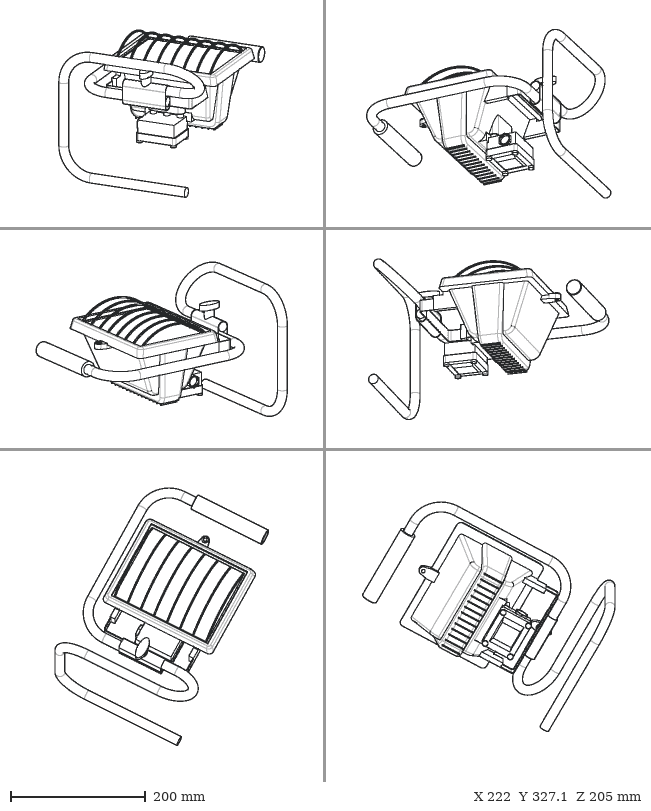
import cadquery as cq
import math


TUBE_R = 7.5
BEND_R = 45.0
U_BEND_R = 40.0
LEFT_X = -109.0

CLAMP_LENGTH = 70.3
CLAMP_WALL = 1.0
CLAMP_Y = -118.0
CLAMP_TOP_Z = -0.3
CLAMP_BOTTOM_Z = -22.2
CLAMP_R = TUBE_R + CLAMP_WALL

HANDLE_Z = -17.3
GRIP_Y = 133.0
GRIP_D = 24.0
GRIP_START_X = -44.0
GRIP_END_X = 74.2
GRIP_CHAMFER = 1.0

STAND_HEIGHT = 190.0
U_BEND_X = 58.0
STAND_END_X = 91.5

KNOB_TOP_Z = 27.5
KNOB_THICKNESS = 8.8
KNOB_LENGTH = 34.5
KNOB_WIDTH = 15.0

FRAME_X = 184.0
FRAME_Y = 146.5
FRAME_H = 15.7
FRAME_INSET = 3.3
FRAME_CORNER_R = 7.0
FRAME_EDGE_R = 3.5
OPENING_X = 161.5
OPENING_Y = 127.5
LEDGE_DEPTH = 5.2
LEDGE_WIDTH = 3.3
GLASS_DEPTH = 7.2

WIRE_COUNT = 8
WIRE_PITCH = 22.0
WIRE_SIZE = 2.0
WIRE_R = 80.0
WIRE_RISE = 22.2
WIRE_EMBED = 1.0

TROUGH_TOP = (163.5, 49.7)
TROUGH_BOTTOM = (142.0, 34.5)
TROUGH_DEPTH = 89.5
BOWL_TOP = (153.5, 124.2)
BOWL_BOTTOM = (127.0, 66.0)
BOWL_DEPTH = 74.2
HOUSING_BOTTOM_R = 14.7
HOUSING_EDGE_R = 5.0
RIB_COUNT = 14
RIB_PITCH = 9.8
RIB_WIDTH = 1.3
RIB_LENGTH = 29.5
RIB_HEIGHT = 1.0

NECK_X = 57.2
NECK_FRONT_Y = -51.3
NECK_BOTTOM_Z = -60.0
NECK_CORNER_R = 7.2
PLATE_X = 76.0
PLATE_FRONT_Y = -39.0
PLATE_H = 13.7
POST_D = 9.8
POST_PITCH = 22.0
POST_Y = -44.0

BOX_X = 59.8
BOX_BACK_Y = -36.0
BOX_Y = 47.5
BOX_TOP_Z = -66.5
BOX_H = 20.0
COVER_OVERHANG = 2.0
COVER_H = 11.8
COVER_CORNER_R = 4.0
FOOT_D = 8.5
FOOT_H = 3.3
PAD_TOP = (43.8, 34.5)
PAD_BOTTOM = (28.0, 30.7)

GLAND_Y = -66.7
GLAND_Z = -76.8
GLAND_FLATS = 17.5
GLAND_LENGTH = 4.3
GLAND_HOLE_D = 15.0

LATCH_BASE_X = 17.0
LATCH_TIP_R = 6.2
LATCH_TIP_Y = 82.5
LATCH_TOP_Z = 2.3
LATCH_H = 8.2
SCREW_R = 5.0
SCREW_STUB = 1.3
SOCKET_R = 2.5

STRAP_X = 140.0
STRAP_THICKNESS = 1.3
STRAP_TOP_Z = -9.0
STRAP_H = 17.5
STRAP_BEND_R = 4.3
STRAP_BACK_Y = -73.0
LUG_WIDTH = 8.0
LUG_FRONT_Y = -88.0
LUG_STEP_Z = -4.5
LUG_BACK_Y = -49.0

SLOPE_OVERLAP = 3.3


def box(x_range, y_range, z_range):
    size = [high - low for low, high in (x_range, y_range, z_range)]
    corner = (x_range[0], y_range[0], z_range[0])
    return cq.Workplane("XY").box(*size, centered=False).translate(corner)


def upright(diameter, x, y, bottom, top):
    return cq.Workplane("XY", origin=(x, y, bottom)).circle(diameter / 2).extrude(top - bottom)


def frustum(top_size, bottom_size, top_z, bottom_z):
    lower = cq.Workplane("XY", origin=(0, 0, bottom_z)).rect(*bottom_size)
    return lower.workplane(offset=top_z - bottom_z).rect(*top_size).loft()



def make_frame():
    lean = math.degrees(math.atan(FRAME_INSET / FRAME_H))
    frame = cq.Workplane("XY").rect(FRAME_X, FRAME_Y).extrude(FRAME_H, taper=lean)
    frame = frame.edges("not(#Z)").edges("not(|X or |Y)").fillet(FRAME_CORNER_R)
    frame = frame.faces(">Z").edges().fillet(FRAME_EDGE_R)
    top = frame.faces(">Z").workplane(origin=(0, 0, FRAME_H))
    frame = top.rect(OPENING_X, OPENING_Y).cutBlind(-LEDGE_DEPTH)
    top = frame.faces(">Z").workplane(origin=(0, 0, FRAME_H))
    return top.rect(OPENING_X - 2 * LEDGE_WIDTH, OPENING_Y - 2 * LEDGE_WIDTH).cutBlind(-GLASS_DEPTH)


def make_guard_wire(x):
    centre_z = FRAME_H + WIRE_RISE - WIRE_R
    ring = cq.Workplane("YZ", origin=(x - WIRE_SIZE / 2, 0, centre_z))
    ring = ring.circle(WIRE_R).circle(WIRE_R - WIRE_SIZE).extrude(WIRE_SIZE)
    reach = OPENING_Y / 2 - LEDGE_WIDTH + WIRE_EMBED
    kept = box((x - 3.3, x + 3.3), (-reach, reach), (0, FRAME_H + WIRE_RISE + 3.3))
    return ring.intersect(kept)


def make_trough():
    trough = frustum(TROUGH_TOP, TROUGH_BOTTOM, 0, -TROUGH_DEPTH)
    trough = trough.faces("<Z").edges("|Y").fillet(HOUSING_BOTTOM_R)
    return trough.faces("<Y or >Y").edges("not(>Z)").fillet(HOUSING_EDGE_R)


def make_bowl():
    bowl = frustum(BOWL_TOP, BOWL_BOTTOM, 0, -BOWL_DEPTH)
    bowl = bowl.faces("<Z").edges("|X").fillet(HOUSING_BOTTOM_R)
    return bowl.faces("<X or >X").edges("not(>Z)").fillet(HOUSING_EDGE_R)


def make_housing():
    housing = make_trough().union(make_bowl())
    for i in range(RIB_COUNT):
        x = (i - (RIB_COUNT - 1) / 2) * RIB_PITCH
        rib = box(
            (x - RIB_WIDTH / 2, x + RIB_WIDTH / 2),
            (-RIB_LENGTH / 2, RIB_LENGTH / 2),
            (-TROUGH_DEPTH - RIB_HEIGHT, -TROUGH_DEPTH + SLOPE_OVERLAP),
        )
        housing = housing.union(rib)
    return housing


def make_box_mount():
    neck = box((-NECK_X / 2, NECK_X / 2), (NECK_FRONT_Y, 0), (NECK_BOTTOM_Z, 0))
    neck = neck.faces("<Y").edges("|Z").fillet(NECK_CORNER_R)
    plate = box(
        (-PLATE_X / 2, PLATE_X / 2),
        (PLATE_FRONT_Y, 0),
        (NECK_BOTTOM_Z - PLATE_H, NECK_BOTTOM_Z),
    )
    mount = neck.union(plate)
    for x in (-POST_PITCH, 0, POST_PITCH):
        mount = mount.union(upright(POST_D, x, POST_Y, BOX_TOP_Z, NECK_BOTTOM_Z))
    return mount


def make_gland():
    left = -BOX_X / 2
    gland = cq.Workplane("YZ", origin=(left - GLAND_LENGTH, GLAND_Y, GLAND_Z))
    return gland.polygon(6, GLAND_FLATS, circumscribed=True).circle(GLAND_HOLE_D / 2).extrude(GLAND_LENGTH)


def make_junction_box():
    split_z = BOX_TOP_Z - BOX_H
    cover_bottom = split_z - COVER_H
    front_y = BOX_BACK_Y - BOX_Y
    middle_y = BOX_BACK_Y - BOX_Y / 2
    cover_x = BOX_X / 2 + COVER_OVERHANG
    cover_back = BOX_BACK_Y + COVER_OVERHANG
    cover_front = front_y - COVER_OVERHANG

    body = box((-BOX_X / 2, BOX_X / 2), (front_y, BOX_BACK_Y), (split_z, BOX_TOP_Z))
    cover = box((-cover_x, cover_x), (cover_front, cover_back), (cover_bottom, split_z))
    cover = cover.edges("|Z").fillet(COVER_CORNER_R)
    pad = frustum(PAD_TOP, PAD_BOTTOM, cover_bottom, cover_bottom - FOOT_H).translate((0, middle_y, 0))
    unit = body.union(cover).union(pad).union(make_gland())
    inset = FOOT_D / 2
    for x in (-cover_x + inset, cover_x - inset):
        for y in (cover_front + inset, cover_back - inset):
            unit = unit.union(upright(FOOT_D, x, y, cover_bottom - FOOT_H, cover_bottom))
    return unit


def make_latch():
    half_base = LATCH_BASE_X / 2
    frame_y = FRAME_Y / 2
    bottom = LATCH_TOP_Z - LATCH_H
    root_y = BOWL_TOP[1] / 2 - SLOPE_OVERLAP
    lug = (
        cq.Workplane("XY", origin=(0, 0, bottom))
        .moveTo(-half_base, root_y)
        .lineTo(half_base, root_y)
        .lineTo(half_base, frame_y)
        .lineTo(LATCH_TIP_R, LATCH_TIP_Y)
        .threePointArc((0, LATCH_TIP_Y + LATCH_TIP_R), (-LATCH_TIP_R, LATCH_TIP_Y))
        .lineTo(-half_base, frame_y)
        .close()
        .extrude(LATCH_H)
    )
    screw_top = LATCH_TOP_Z + SCREW_STUB
    screw = upright(2 * SCREW_R, 0, LATCH_TIP_Y, LATCH_TOP_Z, screw_top)
    socket = upright(2 * SOCKET_R, 0, LATCH_TIP_Y, LATCH_TOP_Z, screw_top)
    stub = upright(2 * SOCKET_R, 0, LATCH_TIP_Y, bottom - SCREW_STUB, bottom)
    return lug.union(screw.cut(socket)).union(stub)


def make_bracket():
    half_x = STRAP_X / 2
    bottom = STRAP_TOP_Z - STRAP_H
    front_y = CLAMP_Y + TUBE_R + CLAMP_WALL - STRAP_THICKNESS / 4
    inner_x = half_x - STRAP_THICKNESS
    strap = box((-half_x, half_x), (front_y, STRAP_BACK_Y), (bottom, STRAP_TOP_Z))
    strap = strap.faces("<Y").edges("|Z").fillet(STRAP_BEND_R)
    inside = box((-inner_x, inner_x), (front_y + STRAP_THICKNESS, STRAP_BACK_Y), (bottom, STRAP_TOP_Z))
    inside = inside.faces("<Y").edges("|Z").fillet(STRAP_BEND_R - STRAP_THICKNESS)
    bracket = strap.cut(inside)
    for outer_x in (-half_x, half_x - LUG_WIDTH):
        sides = (outer_x, outer_x + LUG_WIDTH)
        root = box(sides, (STRAP_BACK_Y, LUG_BACK_Y), (bottom, 0))
        tab = box(sides, (LUG_FRONT_Y, STRAP_BACK_Y), (bottom, LUG_STEP_Z))
        bracket = bracket.union(root).union(tab)
    return bracket


def clamp_outline(radius):
    middle_z = (CLAMP_TOP_Z + CLAMP_BOTTOM_Z) / 2
    length = CLAMP_TOP_Z - CLAMP_BOTTOM_Z + 2 * radius
    start = cq.Workplane("YZ", origin=(-CLAMP_LENGTH / 2, CLAMP_Y, middle_z))
    return start.slot2D(length, 2 * radius, 90).extrude(CLAMP_LENGTH)


def make_clamp_with_knob():
    head_bottom = KNOB_TOP_Z - KNOB_THICKNESS
    head = cq.Workplane("XY", origin=(0, CLAMP_Y, head_bottom))
    head = head.ellipse(KNOB_WIDTH / 2, KNOB_LENGTH / 2).extrude(KNOB_THICKNESS)
    shank = upright(KNOB_WIDTH, 0, CLAMP_Y, CLAMP_TOP_Z, head_bottom)
    return clamp_outline(CLAMP_R).union(shank).union(head).cut(clamp_outline(TUBE_R))


def make_lamp():
    lamp = make_frame().union(make_housing())
    for i in range(WIRE_COUNT):
        lamp = lamp.union(make_guard_wire((i - (WIRE_COUNT - 1) / 2) * WIRE_PITCH))
    for part in (make_box_mount(), make_junction_box(), make_latch(), make_bracket(), make_clamp_with_knob()):
        lamp = lamp.union(part)
    return lamp



def sweep_tube(path, start, direction):
    plane = cq.Plane(origin=start, xDir=(0, 0, 1), normal=direction)
    return cq.Workplane(plane).circle(TUBE_R).sweep(path)


def make_handle():
    start = (CLAMP_LENGTH / 2, CLAMP_Y)
    bend_x = LEFT_X + BEND_R
    shift = BEND_R * (1 - math.sqrt(0.5))
    path = (
        cq.Workplane("XY", origin=(0, 0, HANDLE_Z))
        .moveTo(*start)
        .lineTo(bend_x, CLAMP_Y)
        .threePointArc((LEFT_X + shift, CLAMP_Y + shift), (LEFT_X, CLAMP_Y + BEND_R))
        .lineTo(LEFT_X, GRIP_Y - BEND_R)
        .threePointArc((LEFT_X + shift, GRIP_Y - shift), (bend_x, GRIP_Y))
        .lineTo(GRIP_START_X, GRIP_Y)
    )
    tube = sweep_tube(path, (*start, HANDLE_Z), (-1, 0, 0))
    grip = cq.Workplane("YZ", origin=(GRIP_START_X, GRIP_Y, HANDLE_Z))
    grip = grip.circle(GRIP_D / 2).extrude(GRIP_END_X - GRIP_START_X)
    return tube.union(grip.faces(">X").chamfer(GRIP_CHAMFER))


def make_stand():
    rise = 2 * U_BEND_R * math.sqrt(0.5)
    start = (-CLAMP_LENGTH / 2, CLAMP_Y, CLAMP_TOP_Z)
    u_plane = cq.Plane(origin=(0, CLAMP_Y, CLAMP_TOP_Z), xDir=(1, 0, 0), normal=(0, -1, -1))
    u_path = (
        cq.Workplane(u_plane)
        .moveTo(start[0], 0)
        .lineTo(U_BEND_X, 0)
        .threePointArc((U_BEND_X + U_BEND_R, U_BEND_R), (U_BEND_X, 2 * U_BEND_R))
    )
    arm = sweep_tube(u_path, start, (1, 0, 0))

    rail_y = CLAMP_Y - rise
    top_z = CLAMP_TOP_Z + rise
    bottom_z = top_z - STAND_HEIGHT
    bend_x = LEFT_X + BEND_R
    shift = BEND_R * (1 - math.sqrt(0.5))
    loop_path = (
        cq.Workplane("XZ", origin=(0, rail_y, 0))
        .moveTo(U_BEND_X, top_z)
        .lineTo(bend_x, top_z)
        .threePointArc((LEFT_X + shift, top_z - shift), (LEFT_X, top_z - BEND_R))
        .lineTo(LEFT_X, bottom_z + BEND_R)
        .threePointArc((LEFT_X + shift, bottom_z + shift), (bend_x, bottom_z))
        .lineTo(STAND_END_X, bottom_z)
    )
    loop = sweep_tube(loop_path, (U_BEND_X, rail_y, top_z), (-1, 0, 0))
    return arm.union(loop)


lamp = make_lamp()
handle = make_handle()
stand = make_stand()
result = cq.Compound.makeCompound([lamp.val(), handle.val(), stand.val()])